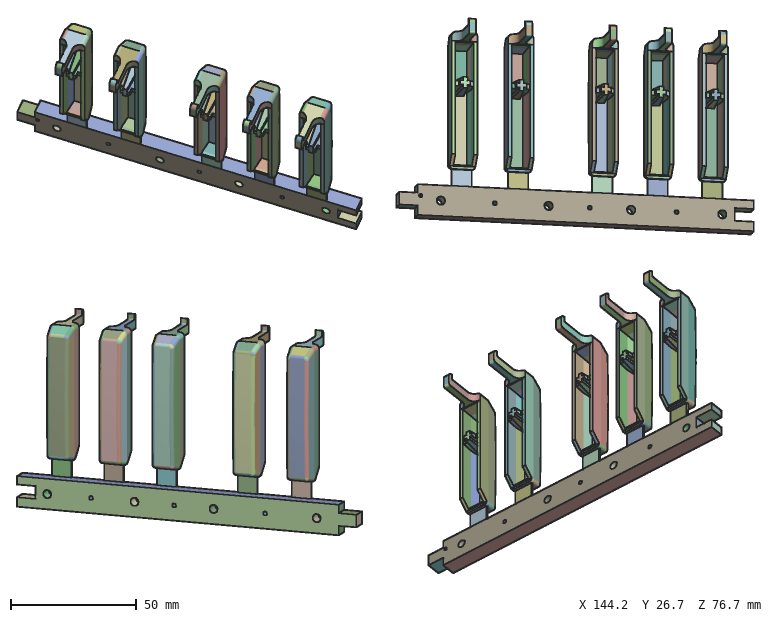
import cadquery as cq
RAIL_LENGTH = 144.2
RAIL_HEIGHT = 12.5
RAIL_THICKNESS = 6.3
PLUG_LENGTH = 7.5
PLUG_HEIGHT = 5.2
SLOT_DEPTH = 7.8
SLOT_HEIGHT = 5.2
JOINT_Z = 6.5
MOUNT_HOLE_DIAMETER = 3.3
MOUNT_HOLES_X = [-55.2, -11.4, 22.2, 59.2]
PILOT_HOLE_DIAMETER = 1.6
PILOT_HOLES_X = [-33.3, 5.3, 40.7]
MARK_DIAMETER = 1.3
MARK_DEPTH = 1.5
MARK_X = -63.4
MARK_Z = 8.0

KEYS_X = [-46.7, -23.8, 10.5, 33.0, 55.2]
KEY_WIDTH = 10.5
KEY_BACK_WIDTH = 9.0
KEY_FRONT_Y = -11.5
TAPER_Y = -RAIL_THICKNESS
KEY_TOP_Z = 74.2
KEY_BACK_TOP_Z = 71.4
KEY_BOTTOM_Z = 19.2
KEY_BACK_BOTTOM_Z = 20.8
BACK_BULGE = 0.6
LIP_FRONT_Y = -7.5
LIP_TOP_Z = 20.3
CHAMFER_TOP_Z = 24.4
TOP_RADIUS = 1.7
BOTTOM_RADIUS = 1.5
BACK_RADIUS = 1.5

CAVITY_WIDTH = 7.5
CAVITY_FLOOR_WIDTH = 5.9
CAVITY_FLOOR_Y = -1.6
CAVITY_TOP_Z = 69.9
CAVITY_FLOOR_TOP_Z = 68.6
CAVITY_BOTTOM_Z = 20.8
CAVITY_FLOOR_BOTTOM_Z = 21.3

POST_Z = 53.3
POST_TIP_Y = -13.0
BLADE_TIP = 1.7
POST_TIP_HEIGHT = 4.5
POST_TIP_WIDTH = 4.0
POST_DRAFT = 0.9
RIB_FRONT_Y = -10.8

ARM_WIDTH = 2.7
ARM_BOTTOM_Z = 70.3
ARM_TIP_Y = -26.7
ARM_TIP_RADIUS = 0.9
FLARE_RADIUS = 3.3
HOOK_TOP_Z = 76.7
HOOK_LENGTH = 2.0
HOOK_ROUND = 1.9
HOOK_ROOT_RADIUS = 0.6

STEM_WIDTH = 8.2
STEM_THICKNESS = 1.0


def block(x_range, y_range, z_range):
    """Box between the given limits."""
    size = [limits[1] - limits[0] for limits in (x_range, y_range, z_range)]
    corner = (x_range[0], y_range[0], z_range[0])
    return cq.Workplane("XY").box(*size, centered=False).translate(corner)


def rail_holes(x_positions, diameter, z, depth):
    """Round cutters that run from the front face of the rail toward its back."""
    return (
        cq.Workplane("XZ", origin=(0, -RAIL_THICKNESS, 0))
        .pushPoints([(x, z) for x in x_positions])
        .circle(diameter / 2)
        .extrude(-depth)
    )


def make_rail():
    left = -RAIL_LENGTH / 2
    right = RAIL_LENGTH / 2
    depth = (-RAIL_THICKNESS, 0)
    shoulder = left + PLUG_LENGTH
    plug_z = (JOINT_Z - PLUG_HEIGHT / 2, JOINT_Z + PLUG_HEIGHT / 2)
    slot_z = (JOINT_Z - SLOT_HEIGHT / 2, JOINT_Z + SLOT_HEIGHT / 2)
    middle_z = RAIL_HEIGHT / 2

    body = block((shoulder, right), depth, (0, RAIL_HEIGHT))
    body = body.union(block((left, shoulder), depth, plug_z))
    body = body.cut(block((right - SLOT_DEPTH, right), depth, slot_z))
    body = body.cut(rail_holes(MOUNT_HOLES_X, MOUNT_HOLE_DIAMETER, middle_z, RAIL_THICKNESS))
    body = body.cut(rail_holes(PILOT_HOLES_X, PILOT_HOLE_DIAMETER, middle_z, RAIL_THICKNESS))
    return body.cut(rail_holes([MARK_X], MARK_DIAMETER, MARK_Z, MARK_DEPTH))


def plan_prism(front_y, front_width, back_y, back_width):
    """Upright prism: parallel sides as far as TAPER_Y, then narrowing to the back."""
    front_half = front_width / 2
    back_half = back_width / 2
    outline = [
        (-front_half, front_y),
        (front_half, front_y),
        (front_half, TAPER_Y),
        (back_half, back_y),
        (-back_half, back_y),
        (-front_half, TAPER_Y),
    ]
    return cq.Workplane("XY").polyline(outline).close().extrude(HOOK_TOP_Z)


def side_sketch(width, start):
    """Workplane for a YZ outline that is extruded to a width centred on X = 0."""
    return cq.Workplane("YZ", origin=(-width / 2, 0, 0)).moveTo(*start)


def make_shell():
    side = (
        side_sketch(KEY_WIDTH, (KEY_FRONT_Y, KEY_TOP_Z))
        .lineTo(TAPER_Y, KEY_TOP_Z)
        .lineTo(-BACK_BULGE, KEY_BACK_TOP_Z)
        .threePointArc((0, (KEY_BACK_TOP_Z + KEY_BACK_BOTTOM_Z) / 2), (-BACK_BULGE, KEY_BACK_BOTTOM_Z))
        .lineTo(TAPER_Y, KEY_BOTTOM_Z)
        .lineTo(LIP_FRONT_Y, KEY_BOTTOM_Z)
        .lineTo(LIP_FRONT_Y, LIP_TOP_Z)
        .lineTo(KEY_FRONT_Y, CHAMFER_TOP_Z)
        .close()
        .extrude(KEY_WIDTH)
    )
    shell = side.intersect(plan_prism(KEY_FRONT_Y, KEY_WIDTH, 0, KEY_BACK_WIDTH))

    side_edges = (
        cq.selectors.BoxSelector((-KEY_WIDTH, KEY_FRONT_Y, KEY_BACK_TOP_Z), (-1.5, 0, HOOK_TOP_Z))
        + cq.selectors.BoxSelector((1.5, KEY_FRONT_Y, KEY_BACK_TOP_Z), (KEY_WIDTH, 0, HOOK_TOP_Z))
    )
    shell = shell.edges(side_edges).edges("not(#Y)").fillet(TOP_RADIUS)
    bottom_edges = (
        cq.selectors.BoxSelector((-KEY_WIDTH, LIP_FRONT_Y, 0), (-1.5, 0, LIP_TOP_Z - 0.1))
        + cq.selectors.BoxSelector((1.5, LIP_FRONT_Y, 0), (KEY_WIDTH, 0, LIP_TOP_Z - 0.1))
    )
    shell = shell.edges(bottom_edges).edges("not(#Y)").fillet(BOTTOM_RADIUS)
    return shell.faces(">Y").edges().fillet(BACK_RADIUS)


def make_cavity():
    open_y = KEY_FRONT_Y
    side = (
        side_sketch(CAVITY_WIDTH, (open_y, CAVITY_TOP_Z))
        .lineTo(TAPER_Y, CAVITY_TOP_Z)
        .lineTo(CAVITY_FLOOR_Y, CAVITY_FLOOR_TOP_Z)
        .lineTo(CAVITY_FLOOR_Y, CAVITY_FLOOR_BOTTOM_Z)
        .lineTo(TAPER_Y, CAVITY_BOTTOM_Z)
        .lineTo(open_y, CAVITY_BOTTOM_Z)
        .close()
        .extrude(CAVITY_WIDTH)
    )
    return side.intersect(plan_prism(open_y, CAVITY_WIDTH, CAVITY_FLOOR_Y, CAVITY_FLOOR_WIDTH))


def drafted_blade(width, height):
    """Blade that grows by the draft from the post tip down to the cavity floor."""
    return (
        cq.Workplane("XZ", origin=(0, POST_TIP_Y, POST_Z))
        .rect(width, height)
        .workplane(offset=POST_TIP_Y - CAVITY_FLOOR_Y)
        .rect(width + 2 * POST_DRAFT, height + 2 * POST_DRAFT)
        .loft(ruled=True)
    )


def make_post(cavity):
    upright = drafted_blade(BLADE_TIP, POST_TIP_HEIGHT)
    cross_blade = drafted_blade(POST_TIP_WIDTH, BLADE_TIP)
    wide_blade = drafted_blade(CAVITY_WIDTH, BLADE_TIP)
    rib_zone = block((-KEY_WIDTH, KEY_WIDTH), (RIB_FRONT_Y, 0), (0, HOOK_TOP_Z))
    rib = wide_blade.intersect(rib_zone).intersect(cavity)
    return upright.union(cross_blade).union(rib)


def make_arm():
    hook_back_y = ARM_TIP_Y + HOOK_LENGTH
    bar = (
        side_sketch(ARM_WIDTH, (KEY_FRONT_Y, KEY_TOP_Z))
        .lineTo(hook_back_y + HOOK_ROOT_RADIUS, KEY_TOP_Z)
        .radiusArc((hook_back_y, KEY_TOP_Z + HOOK_ROOT_RADIUS), HOOK_ROOT_RADIUS)
        .lineTo(hook_back_y, HOOK_TOP_Z)
        .lineTo(ARM_TIP_Y + HOOK_ROUND, HOOK_TOP_Z)
        .radiusArc((ARM_TIP_Y, HOOK_TOP_Z - HOOK_ROUND), -HOOK_ROUND)
        .lineTo(ARM_TIP_Y, ARM_BOTTOM_Z + ARM_TIP_RADIUS)
        .radiusArc((ARM_TIP_Y + ARM_TIP_RADIUS, ARM_BOTTOM_Z), -ARM_TIP_RADIUS)
        .lineTo(KEY_FRONT_Y, ARM_BOTTOM_Z)
        .close()
        .extrude(ARM_WIDTH)
    )

    arm_half = ARM_WIDTH / 2
    root_half = arm_half + FLARE_RADIUS
    flare_end_y = KEY_FRONT_Y - FLARE_RADIUS
    flare = (
        cq.Workplane("XY", origin=(0, 0, ARM_BOTTOM_Z))
        .moveTo(-root_half, KEY_FRONT_Y)
        .radiusArc((-arm_half, flare_end_y), FLARE_RADIUS)
        .lineTo(arm_half, flare_end_y)
        .radiusArc((root_half, KEY_FRONT_Y), FLARE_RADIUS)
        .close()
        .extrude(KEY_TOP_Z - ARM_BOTTOM_Z)
    )
    key_outline = block(
        (-KEY_WIDTH / 2, KEY_WIDTH / 2), (flare_end_y, KEY_FRONT_Y), (0, KEY_TOP_Z)
    ).edges("|Y and >Z").fillet(TOP_RADIUS)
    return bar.union(flare.intersect(key_outline))


def make_key():
    cavity = make_cavity()
    stem = block(
        (-STEM_WIDTH / 2, STEM_WIDTH / 2),
        (-RAIL_THICKNESS, STEM_THICKNESS - RAIL_THICKNESS),
        (RAIL_HEIGHT, CAVITY_BOTTOM_Z),
    )
    shell = make_shell().union(stem).cut(cavity)
    return shell.union(make_post(cavity)).union(make_arm())


rail = make_rail()
key = make_key()
keys = [key.translate((x, 0, 0)) for x in KEYS_X]

result = cq.Compound.makeCompound([rail.val(), *[placed.val() for placed in keys]])